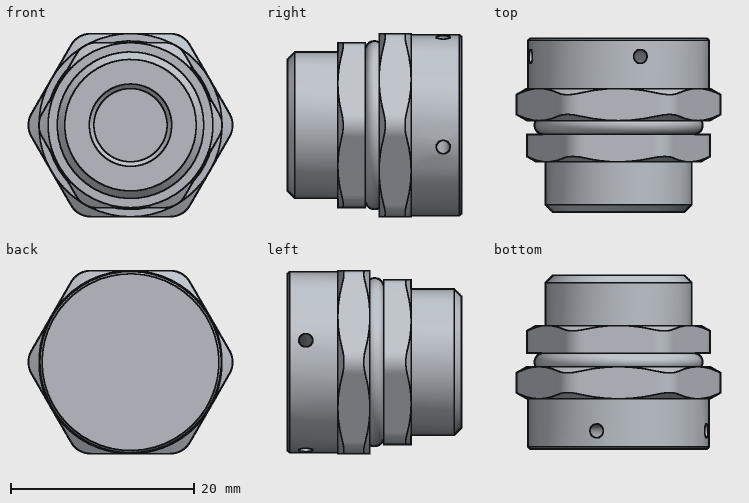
import cadquery as cq
import math


spigot_diameter = 16.0
spigot_length = 5.5
spigot_chamfer = 0.82

recess_mouth_diameter = 9.0
recess_floor_diameter = 8.0
recess_depth = 0.5

front_hex_width = 18.0
front_hex_length = 3.0
rear_hex_width = 20.0
rear_hex_length = 3.5
hex_corner_radius = 2.5
hex_chamfer_angle = math.radians(30)

ring_gap = 1.5
ring_section_diameter = 2.0
ring_outer_diameter = 18.4

sleeve_diameter = 19.8
total_length = 19.0
sleeve_chamfer = 0.25
cross_hole_diameter = 1.5
cross_hole_first_angle = 76.0
cross_hole_spacing = 90.0
cross_hole_setback = 2.0
cross_hole_overrun = 1.0

front_hex_start = spigot_length
ring_start = front_hex_start + front_hex_length
rear_hex_start = ring_start + ring_gap
sleeve_start = rear_hex_start + rear_hex_length


def plane_at(station):
    """Plane facing +Y at a station along the axis."""
    return cq.Workplane("XZ", origin=(0, station, 0)).workplane(invert=True)


def cylinder(diameter, start, length):
    return plane_at(start).circle(diameter / 2).extrude(length)


def revolve_about_y(profile):
    return profile.revolve(360, (0, 0, 0), (0, 1, 0))


def hex_collar(width, start, length, chamfer_rear):
    """Rounded hexagon with flats facing +Z and -Z, its corners cut by shallow cones."""
    corner_diameter = width / math.cos(math.pi / 6)
    prism = plane_at(start).polygon(6, corner_diameter).extrude(length)
    prism = prism.edges("|Y").fillet(hex_corner_radius)

    end_radius = width / 2
    outer_radius = corner_diameter / 2
    cone_length = (outer_radius - end_radius) * math.tan(hex_chamfer_angle)
    end = start + length
    outline = cq.Workplane("XY").moveTo(0, start).lineTo(end_radius, start)
    outline = outline.lineTo(outer_radius, start + cone_length)
    if chamfer_rear:
        outline = outline.lineTo(outer_radius, end - cone_length).lineTo(end_radius, end)
    else:
        outline = outline.lineTo(outer_radius, end)
    envelope = revolve_about_y(outline.lineTo(0, end).close())
    return prism.intersect(envelope)


def spigot():
    return cylinder(spigot_diameter, 0, spigot_length).faces("<Y").chamfer(spigot_chamfer)


def sealing_ring():
    """Round-section ring resting on the front collar and partly sunk into the rear collar."""
    section_radius = ring_section_diameter / 2
    center_radius = ring_outer_diameter / 2 - section_radius
    rear_face_offset = ring_gap - section_radius
    contact_radius = center_radius + math.sqrt(section_radius**2 - rear_face_offset**2)
    outline = cq.Workplane("XY").moveTo(0, ring_start).lineTo(center_radius, ring_start)
    outline = outline.threePointArc(
        (ring_outer_diameter / 2, ring_start + section_radius),
        (contact_radius, rear_hex_start),
    )
    return revolve_about_y(outline.lineTo(0, rear_hex_start).close())


def sleeve():
    body = cylinder(sleeve_diameter, sleeve_start, total_length - sleeve_start)
    return body.faces(">Y").chamfer(sleeve_chamfer)


def front_recess():
    """Shallow conical recess that narrows to a flat floor."""
    return cq.Workplane(
        cq.Solid.makeCone(
            recess_mouth_diameter / 2,
            recess_floor_diameter / 2,
            recess_depth,
            cq.Vector(0, 0, 0),
            cq.Vector(0, 1, 0),
        )
    )


def cross_hole(angle):
    """Hole straight through the sleeve across its axis; the angle runs from +X towards +Z."""
    direction = cq.Vector(math.cos(math.radians(angle)), 0, math.sin(math.radians(angle)))
    center = cq.Vector(0, total_length - cross_hole_setback, 0)
    start = center - direction * (sleeve_diameter / 2 + cross_hole_overrun)
    length = sleeve_diameter + 2 * cross_hole_overrun
    return cq.Workplane(cq.Solid.makeCylinder(cross_hole_diameter / 2, length, start, direction))


result = spigot()
result = result.union(hex_collar(front_hex_width, front_hex_start, front_hex_length, False))
result = result.union(sealing_ring())
result = result.union(hex_collar(rear_hex_width, rear_hex_start, rear_hex_length, True))
result = result.union(sleeve())
result = result.cut(front_recess())
for cross_hole_angle in (cross_hole_first_angle, cross_hole_first_angle + cross_hole_spacing):
    result = result.cut(cross_hole(cross_hole_angle))